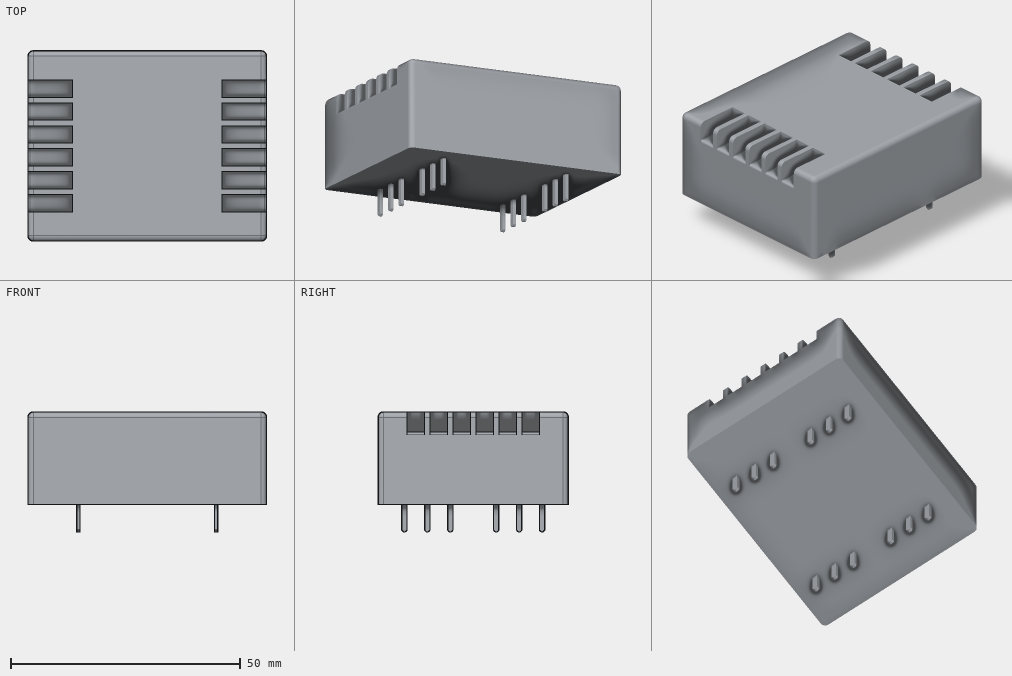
import cadquery as cq
import math

case_length = 52.0
case_width = 41.5
case_height = 20.2
case_edge_radius = 1.2

slot_count = 6
slot_pitch = 5.0
slot_width = 3.8
slot_length = 9.7
slot_depth = 4.4
slot_lip_radius = 0.5

pin_length = 6.0
pin_thickness = 0.8
pin_width = 1.2
pin_tip_chamfer = 0.42
pin_row_x = 15.0
pin_pitch = 5.0
pin_steps = (-3, -2, -1, 1, 2, 3)


def make_case():
    block = cq.Workplane("XY").box(case_length, case_width, case_height, centered=(True, True, False))
    return block.edges("|Z or >Z").fillet(case_edge_radius)


def make_slot(y, side):
    """Slot open to the top and to one X end, with its floor rounded over at the outer face."""
    outer_x = side * case_length / 2
    inner_x = side * (case_length / 2 - slot_length)
    lip_x = side * (case_length / 2 - slot_lip_radius)
    floor_z = case_height - slot_depth
    lip_arc_inset = slot_lip_radius * (1 - math.cos(math.pi / 4))
    profile = (
        cq.Workplane("XZ", origin=(0, y + slot_width / 2, 0))
        .moveTo(inner_x, case_height)
        .lineTo(inner_x, floor_z)
        .lineTo(lip_x, floor_z)
        .threePointArc(
            (outer_x - side * lip_arc_inset, floor_z - lip_arc_inset),
            (outer_x, floor_z - slot_lip_radius),
        )
        .lineTo(outer_x, case_height)
        .close()
    )
    return profile.extrude(slot_width)


def make_pin(x, y):
    """Flat pin hanging from the underside, its tip chamfered across the width."""
    pin = cq.Workplane("XY").box(pin_thickness, pin_width, pin_length, centered=(True, True, False))
    pin = pin.edges("|X and <Z").chamfer(pin_tip_chamfer)
    return pin.translate((x, y, -pin_length))


result = make_case()
for side in (-1, 1):
    for index in range(slot_count):
        slot_y = (index - (slot_count - 1) / 2) * slot_pitch
        result = result.cut(make_slot(slot_y, side))
    for step in pin_steps:
        result = result.union(make_pin(side * pin_row_x, step * pin_pitch))